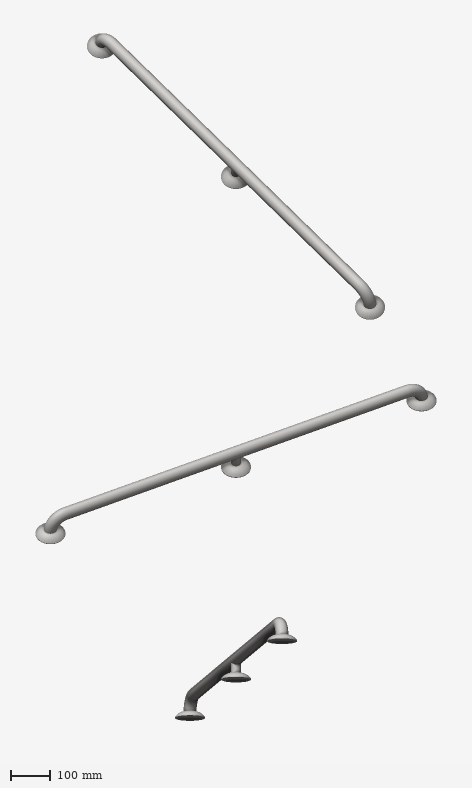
import cadquery as cq
import math

LENGTH = 1143.0
HEIGHT = 70.0
FLANGE_DIAMETER = 77.0
FLANGE_RADIUS = FLANGE_DIAMETER / 2
FOOT_X = LENGTH / 2 - FLANGE_RADIUS

BAR_DIAMETER = 33.0
BAR_RADIUS = BAR_DIAMETER / 2
STEM_RADIUS = 13.0
BEND_RADIUS = 42.0
AXIS_Z = HEIGHT - BAR_RADIUS
BEND_START_Z = AXIS_Z - BEND_RADIUS
BAR_END_X = FOOT_X - BEND_RADIUS

FACETS = 36
RIM_HEIGHT = 2.0
FLANGE_HEIGHT = 16.0
CROWN_RADIUS = 18.0
DOME_BULGE = 2.0


def make_flange():
    """Rim and shallow dome, built from curved gores that meet along radial ridges."""
    facet_angle = 360 / FACETS
    half_width = FLANGE_RADIUS * math.tan(math.radians(facet_angle / 2))
    slope_run = FLANGE_RADIUS - CROWN_RADIUS
    slope_rise = FLANGE_HEIGHT - RIM_HEIGHT
    slope_length = math.hypot(slope_run, slope_rise)
    arc_middle = (
        CROWN_RADIUS + slope_run / 2 + DOME_BULGE * slope_rise / slope_length,
        RIM_HEIGHT + slope_rise / 2 + DOME_BULGE * slope_run / slope_length,
    )
    profile = (
        cq.Workplane("XZ", origin=(0, half_width, 0))
        .lineTo(FLANGE_RADIUS, 0)
        .lineTo(FLANGE_RADIUS, RIM_HEIGHT)
        .threePointArc(arc_middle, (CROWN_RADIUS, FLANGE_HEIGHT))
        .lineTo(0, FLANGE_HEIGHT)
        .close()
        .extrude(2 * half_width)
    )
    wedge = (
        cq.Workplane("XY")
        .polyline([(0, 0), (FLANGE_RADIUS, -half_width), (FLANGE_RADIUS, half_width)])
        .close()
        .extrude(FLANGE_HEIGHT)
    )
    gore = profile.intersect(wedge)
    gores = [gore.rotate((0, 0, 0), (0, 0, 1), i * facet_angle).val() for i in range(FACETS)]
    return cq.Workplane(gores[0].fuse(*gores[1:]).clean())


def make_elbow(side):
    """Quarter bend from the flange up to one end of the bar, with a straight foot."""
    bend = (
        cq.Workplane("XY", origin=(side * FOOT_X, 0, BEND_START_Z))
        .circle(BAR_RADIUS)
        .revolve(90, (-side * BEND_RADIUS, 0), (-side * BEND_RADIUS, -side))
    )
    foot = cq.Workplane("XY").center(side * FOOT_X, 0).circle(BAR_RADIUS).extrude(BEND_START_Z)
    return bend.union(foot)


bar = cq.Workplane("YZ", origin=(-BAR_END_X, 0, AXIS_Z)).circle(BAR_RADIUS).extrude(2 * BAR_END_X)
stem = cq.Workplane("XY").circle(STEM_RADIUS).extrude(AXIS_Z)
result = bar.union(stem)

for side in (-1, 1):
    result = result.union(make_elbow(side))

flange = make_flange()
for foot_x in (-FOOT_X, 0, FOOT_X):
    result = result.union(flange.translate((foot_x, 0, 0)))